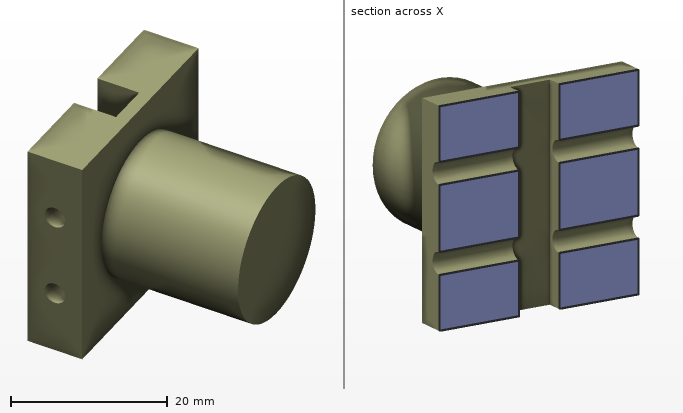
import cadquery as cq

plate_side = 30.0
total_length = 28.0
plate_thickness = 8.0
boss_diameter = 19.98
slot_width = 6.0
slot_depth = 6.15
hole_diameter = 3.0
hole_spacing = 12.0

boss_length = total_length - plate_thickness

plate = cq.Workplane("XY").box(
    plate_thickness, plate_side, plate_side, centered=(False, True, True)
)

boss = (
    cq.Workplane("YZ", origin=(plate_thickness, 0, 0))
    .circle(boss_diameter / 2)
    .extrude(boss_length)
)

slot = cq.Workplane("XY").box(
    slot_depth, slot_width, plate_side, centered=(False, True, True)
)

cross_holes = (
    cq.Workplane("XZ", origin=(plate_thickness / 2, 0, 0))
    .rarray(0.3, hole_spacing, 1, 2)
    .circle(hole_diameter / 2)
    .extrude(plate_side / 2, both=True)
)

result = plate.union(boss).cut(slot).cut(cross_holes)